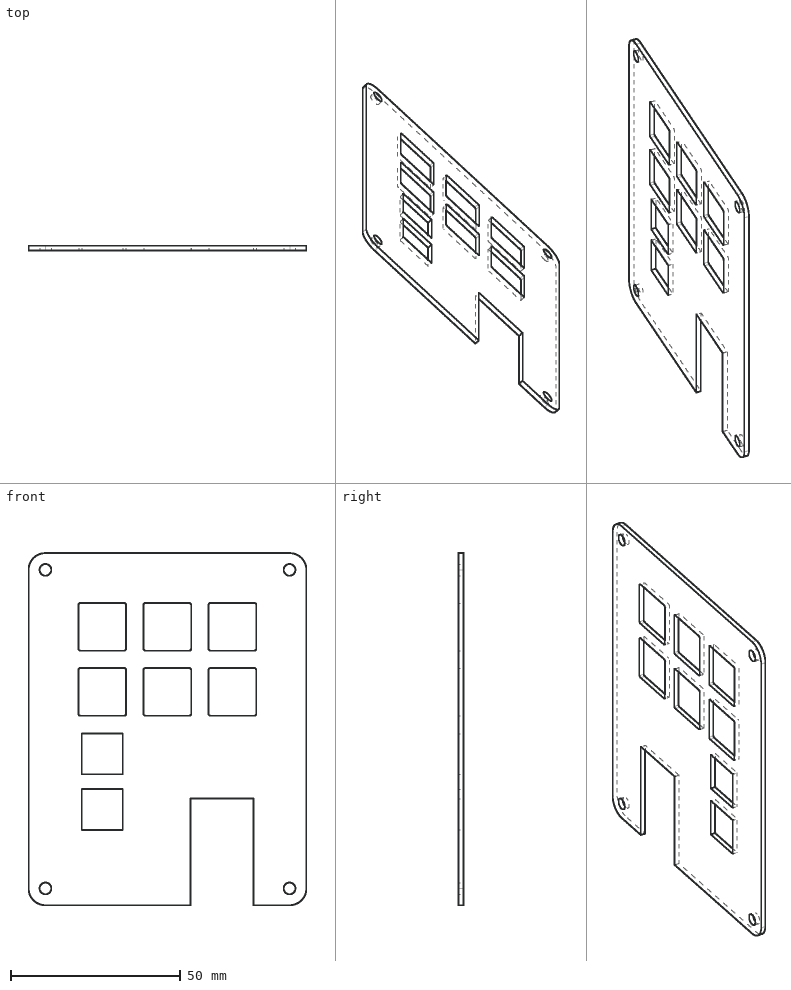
import cadquery as cq

PLATE_WIDTH = 82.03
PLATE_HEIGHT = 104.0
PLATE_THICKNESS = 1.5
CORNER_RADIUS = 5.0

SCREW_HOLE_DIAMETER = 3.4

KEY_SIZE = 14.0
KEY_CORNER_RADIUS = 0.5
KEY_PITCH = 19.2
KEY_COLUMNS = 3
KEY_ROWS = 2
FIRST_KEY_X = -19.25
FIRST_KEY_Z = 30.2

SMALL_WINDOW_SIZE = 12.0
SMALL_WINDOW_X = FIRST_KEY_X
FIRST_SMALL_WINDOW_Z = -7.3
SMALL_WINDOW_PITCH = 16.4
SMALL_WINDOW_COUNT = 2

NOTCH_LEFT_X = 6.85
NOTCH_WIDTH = 18.5
NOTCH_DEPTH = 31.5


def block(width, height, center_x, center_z):
    """Rectangular block (width in X, height in Z) as thick as the plate, centred at (center_x, center_z)."""
    return cq.Workplane("XY").box(width, PLATE_THICKNESS, height).translate((center_x, 0, center_z))


def make_plate():
    """Flat plate with four rounded corners."""
    return block(PLATE_WIDTH, PLATE_HEIGHT, 0, 0).edges("|Y").fillet(CORNER_RADIUS)


def cut_screw_holes(plate):
    """Through hole at the centre of each corner arc."""
    spacing_x = PLATE_WIDTH - 2 * CORNER_RADIUS
    spacing_z = PLATE_HEIGHT - 2 * CORNER_RADIUS
    return (
        plate.faces("<Y")
        .workplane(centerOption="ProjectedOrigin")
        .rect(spacing_x, spacing_z, forConstruction=True)
        .vertices()
        .hole(SCREW_HOLE_DIAMETER)
    )


def cut_key_windows(plate):
    """Grid of square windows with small corner rounds."""
    for column in range(KEY_COLUMNS):
        for row in range(KEY_ROWS):
            center_x = FIRST_KEY_X + column * KEY_PITCH
            center_z = FIRST_KEY_Z - row * KEY_PITCH
            window = block(KEY_SIZE, KEY_SIZE, center_x, center_z)
            plate = plate.cut(window.edges("|Y").fillet(KEY_CORNER_RADIUS))
    return plate


def cut_small_windows(plate):
    """Column of sharp-cornered square windows."""
    for index in range(SMALL_WINDOW_COUNT):
        center_z = FIRST_SMALL_WINDOW_Z - index * SMALL_WINDOW_PITCH
        plate = plate.cut(block(SMALL_WINDOW_SIZE, SMALL_WINDOW_SIZE, SMALL_WINDOW_X, center_z))
    return plate


def cut_notch(plate):
    """Rectangular notch running up from the bottom edge."""
    center_x = NOTCH_LEFT_X + NOTCH_WIDTH / 2
    center_z = (NOTCH_DEPTH - PLATE_HEIGHT) / 2
    return plate.cut(block(NOTCH_WIDTH, NOTCH_DEPTH, center_x, center_z))


result = make_plate()
result = cut_screw_holes(result)
result = cut_key_windows(result)
result = cut_small_windows(result)
result = cut_notch(result)